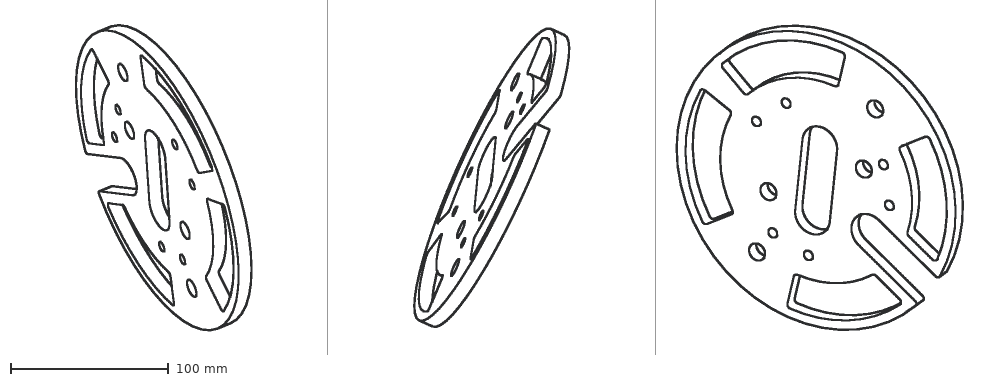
import cadquery as cq
import math

disc_radius = 101.5
thickness = 9.5

pattern_angle = 216.0

slot_width = 25.2
center_slot_spacing = 50.8
center_slot_angle = 60.0
open_slot_start = 47.3
mouth_fillet = 2.0

window_inner_radius = 70.0
window_outer_radius = 95.0
window_fillet = 2.5
narrow_spoke_half_angle = 7.0
wide_spoke_half_angle = 23.0
slot_wall = 7.7

large_hole_diameter = 11.5
outer_hole_radius = 73.2
inner_hole_radius = 38.0
inner_hole_turn = 30.0
small_hole_diameter = 6.5
small_hole_radius = 53.6
small_hole_pair_angle = 30.0

cut_height = 2 * thickness


def polar(radius, angle):
    """Point at a radius and an angle in degrees."""
    a = math.radians(angle)
    return (radius * math.cos(a), radius * math.sin(a))


def extrude_cutter(sketch):
    """Solid through the full disc thickness."""
    return sketch.extrude(cut_height / 2, both=True)


def window(inner_start, outer_start, inner_end, outer_end):
    """Rounded window; the four angles place its corners on the two radii."""
    outline = (
        cq.Workplane("XY")
        .moveTo(*polar(window_inner_radius, inner_start))
        .lineTo(*polar(window_outer_radius, outer_start))
        .threePointArc(
            polar(window_outer_radius, (outer_start + outer_end) / 2),
            polar(window_outer_radius, outer_end),
        )
        .lineTo(*polar(window_inner_radius, inner_end))
        .threePointArc(
            polar(window_inner_radius, (inner_start + inner_end) / 2),
            polar(window_inner_radius, inner_start),
        )
        .close()
    )
    return extrude_cutter(outline).edges("|Z").fillet(window_fillet)


def drill(body, diameter, points):
    """Cut through holes at the given points."""
    return body.cut(extrude_cutter(cq.Workplane("XY").pushPoints(points).circle(diameter / 2)))


plate = cq.Workplane("XY").circle(disc_radius).extrude(thickness / 2, both=True)

slot_end = cq.Workplane("XY").center(open_slot_start, 0).circle(slot_width / 2)
slot_channel = cq.Workplane("XY").center(open_slot_start + disc_radius / 2, 0).rect(disc_radius, slot_width)
plate = plate.cut(extrude_cutter(slot_end)).cut(extrude_cutter(slot_channel))
mouth_x = math.sqrt(disc_radius**2 - (slot_width / 2) ** 2)
for side in (-1, 1):
    corner = cq.selectors.NearestToPointSelector((mouth_x, side * slot_width / 2, 0))
    plate = plate.edges("|Z").edges(corner).fillet(mouth_fillet)

center_slot = cq.Workplane("XY").slot2D(center_slot_spacing + slot_width, slot_width, center_slot_angle)
plate = plate.cut(extrude_cutter(center_slot))

wall_offset = slot_width / 2 + slot_wall
wall_inner_angle = math.degrees(math.asin(wall_offset / window_inner_radius))
wall_outer_angle = math.degrees(math.asin(wall_offset / window_outer_radius))
near_end = 90 - wide_spoke_half_angle
far_start = 90 + wide_spoke_half_angle
far_end = 180 - narrow_spoke_half_angle
for side in (-1, 1):
    near_corners = (wall_inner_angle, wall_outer_angle, near_end, near_end)
    far_corners = (far_start, far_start, far_end, far_end)
    for corners in (near_corners, far_corners):
        plate = plate.cut(window(*[side * angle for angle in corners]))

large_holes = []
for angle in (-90, 90):
    large_holes.append(polar(outer_hole_radius, angle))
    large_holes.append(polar(inner_hole_radius, angle + inner_hole_turn))
plate = drill(plate, large_hole_diameter, large_holes)

small_holes = []
for pair_start in (60, 180, 300):
    for angle in (pair_start, pair_start + small_hole_pair_angle):
        small_holes.append(polar(small_hole_radius, angle))
plate = drill(plate, small_hole_diameter, small_holes)

result = plate.rotate((0, 0, 0), (0, 0, 1), pattern_angle).rotate((0, 0, 0), (1, 0, 0), 90)